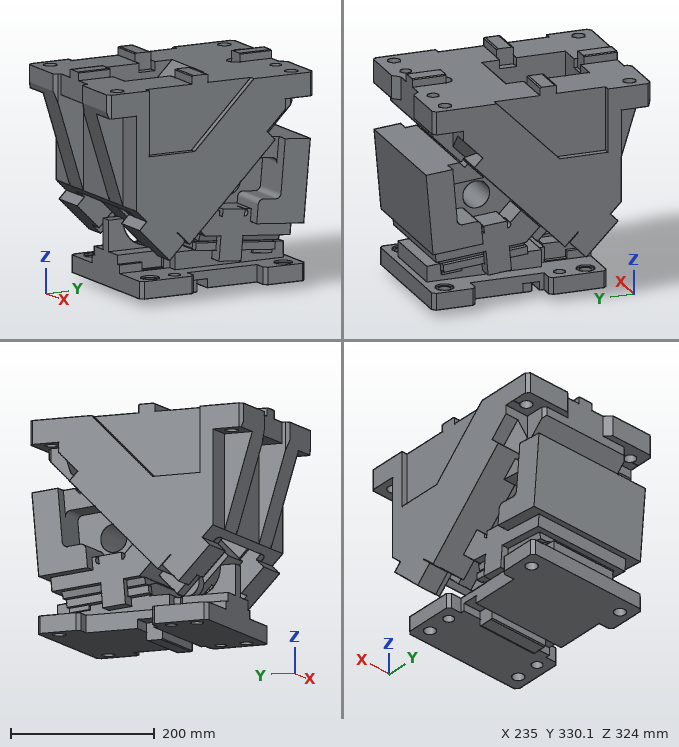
import cadquery as cq
import math


CHAMFER = 5.0
KEY_LENGTH = 50.0
KEY_WIDTH = 25.0
KEY_RISE = 12.0
KEY_SINK = 13.0
KEY_EDGE = (1.0, 2.5)
BOLT_HOLE = 18.5
DOWEL_HOLE = 16.5

SLOPE_ORIGIN = (103.5, 48.5)

TILT = math.radians(5)
TILT_ORIGIN = (319.62, 81.6)

HOLDER_WIDTH = 235.0
HOLDER_LENGTH = 326.0
HOLDER_TOP = 300.0
HOLDER_PLATE = 34.0
HOLDER_PLATE_MIDDLE = 30.0
NOTCH_DEPTH = 10.0
FRONT_NOTCH_HALF = 38.0
REAR_NOTCH_HALF = 32.5
BODY_FRONT = 45.0
BODY_REAR = 281.0
RIB_OUTER = 77.5
RIB_TOP = 275.0
RIB_BOTTOM = 130.0
REAR_BLOCK_DROP = 6.5
REAR_RELIEF_START = 228.0
REAR_RELIEF_DEPTH = 18.0
REAR_RELIEF_END = 290.0
REAR_RELIEF_WALL = -2.5
FOOT_THICK = 16.0
FOOT_BACK = 35.5
FOOT_TOP = -76.0
FOOT_BOTTOM = -8.5
FOOT_STEP = -27.0
FOOT_INNER = 64.5
FOOT_STEP_X = 84.0
BODY_END = 36.3
CHANNEL_TOP = -86.0
CHANNEL_OPEN = 60.0
CHANNEL_END = 218.0
FOOT_SEAT_HALF = 80.5
FOOT_SEAT_RADIUS = 8.0
FOOT_PLUG_SETBACK = 0.5
POCKET_FRONT = 65.0
POCKET_HALF = 46.0
POCKET_REAR = 190.0
POCKET_FLOOR = 229.0
SIDE_POCKET_X = 108.0
SIDE_POCKET_REAR = 231.0
SIDE_POCKET_FLOOR = 206.0
SIDE_KEY_Y = 150.5
HOLE_INSET_X = 20.0
HOLE_INSET_Y = 25.0
HOLDER_DOWEL_X = 52.5

CHEEK_X = 100.0
SIDE_X = 81.5
CORE_X = 60.0
CHEEK_HEIGHT = 120.0
CHEEK_REAR_LEG = 40.0
CHEEK_LOW_LEG = 75.0
CHEEK_LOW_TOP = 35.0
WINDOW_TOP = 90.0
WINDOW_FILLET = 8.0
WINDOW_FLOOR_X = 40.0
SLAB_BACK = -10.0
SLAB_BOTTOM = -20.0
SLIDER_GAP = 2.0
SLIDER_TOP_GAP = 8.5
SLIDER_STEP = 220.0
SLIDER_END = 67.9
SLIDER_FRONT = -250.0
WINDOW_END = 107.5
HOOK_FRONT = -120.0
HOOK_BACK = -85.0
HOOK_TOP = 18.0
HOOK_BOTTOM = -56.0
HOOK_CAVITY_X = 70.0
RELIEF_RADIUS = 5.0
RELIEF_DROP = 5.5
SHOE_BACK = -20.0
SHOE_FRONT = -147.0
SHOE_BOTTOM = -29.5
SHOE_X = 67.0
CROSS_HOLE = 40.0
CROSS_HOLE_AT = (231.8, 139.3)
TONGUE_START = 28.3
TONGUE_END = 215.0
TONGUE_TOP = -61.0
TONGUE_BOTTOM = 20.0
TONGUE_STEM_X = 33.7
WING_INNER = -11.7
WING_OUTER = -7.0
TONGUE_SLOT_HALF = 12.5
TONGUE_SLOT_END = 37.5
NOSE_AT = (136.0, 74.2)
NOSE_RADIUS = 20.0
NOSE_HALF = 8.0

BASE_HALF = 103.0
BASE_FRONT = 60.0
BASE_REAR = 321.0
BASE_PLATE = 25.0
WAIST_HALF = 80.0
WAIST_FRONT = 146.0
WAIST_REAR = 256.0
BASE_KEY_LENGTH = 100.0
BASE_KEY_Y = 165.0
BASE_HOLE_INSET_X = 20.0
BASE_HOLE_INSET_Y = 25.0
BASE_SPOT_FACE = 26.0
SPOT_FACE_DEPTH = 2.5
BASE_DOWEL_Y = 124.0
BLOCK_HALF = 33.7
BLOCK_TOP = 50.0
BLOCK_REAR = 130.0
LEDGE_HALF = 40.0
LEDGE_TOP = 37.0
LEDGE_REAR = 96.0
LOW_LEDGE_TOP = 26.5
BRIDGE_TOP = 47.5
FIN_HALF = 8.4
FIN_TOP = 95.0
FIN_ARC_CENTRE = (122.0, 92.0)
FIN_ARC_MIDDLE = 225
FIN_HEEL = 54.0
STEM_HALF = 55.4
STEM_FRONT = 140.0
STEM_REAR = 311.5
STEM_STEP = 170.0
STEM_SLOPE = -34.0
GUIDE_BACK = -25.0
GUIDE_FRONT = -151.0
FLANGE_HALF = 68.0
FLANGE_TOP = -32.0
FLANGE_BOTTOM = -43.0
ROOF_HALF = 57.6
ROOF_FRONT = -149.0
ROOF_TOP = -22.5
PAD_HALF = 60.0
PAD_LENGTH = 30.0
PAD_THICK = 6.5


def on_slope(up, out):
    """(Y, Z) of a point `up` along the slope and `out` below the sliding face."""
    half = math.sqrt(0.5)
    return (SLOPE_ORIGIN[0] + (up + out) * half, SLOPE_ORIGIN[1] + (up - out) * half)


def on_tilt(back, rise):
    """(Y, Z) of a point given along and across the working direction."""
    y = TILT_ORIGIN[0] + back * math.cos(TILT) + rise * math.sin(TILT)
    z = TILT_ORIGIN[1] - back * math.sin(TILT) + rise * math.cos(TILT)
    return (y, z)


def tilt_meets_slope(rise, out):
    """(Y, Z) where a line at `rise` in the tilted frame crosses a line at `out` below the slope."""
    start_y, start_z = on_tilt(0, rise)
    level = SLOPE_ORIGIN[0] - SLOPE_ORIGIN[1] + out * math.sqrt(2)
    back = (level - start_y + start_z) / (math.cos(TILT) + math.sin(TILT))
    return on_tilt(back, rise)


def tilt_meets_cross(rise, up):
    """(Y, Z) where a line at `rise` in the tilted frame crosses the plane `up` along the slope."""
    start_y, start_z = on_tilt(0, rise)
    total = SLOPE_ORIGIN[0] + SLOPE_ORIGIN[1] + up * math.sqrt(2)
    back = (total - start_y - start_z) / (math.cos(TILT) - math.sin(TILT))
    return on_tilt(back, rise)


def back_meets_cross(back, up):
    """(Y, Z) where a line at `back` in the tilted frame crosses the plane `up` along the slope."""
    start_y, start_z = on_tilt(back, 0)
    total = SLOPE_ORIGIN[0] + SLOPE_ORIGIN[1] + up * math.sqrt(2)
    rise = (total - start_y - start_z) / (math.cos(TILT) + math.sin(TILT))
    return on_tilt(back, rise)


def across(points, half_width):
    """Side outline of (Y, Z) points, extended to both sides of the symmetry plane."""
    return cq.Workplane("YZ").polyline(points).close().extrude(half_width, both=True)


def both_sides(points, inner, outer):
    """Side outline extended between two distances from the symmetry plane, on both sides."""
    right = cq.Workplane("YZ").workplane(offset=inner).polyline(points).close().extrude(outer - inner)
    return right.union(right.mirror("YZ"))


def along_slope(section, start, end):
    """Section of (X, out) points extended up the slope from `start` to `end`."""
    y, z = on_slope(start, 0)
    plane = cq.Plane(origin=(0, y, z), xDir=(1, 0, 0), normal=(0, 1, 1))
    return cq.Workplane(plane).polyline(section).close().extrude(end - start)


def along_tilt(section, back, front):
    """Section of (X, rise) points extended forwards from `back` to `front`."""
    y, z = on_tilt(back, 0)
    plane = cq.Plane(origin=(0, y, z), xDir=(1, 0, 0), normal=(0, -math.cos(TILT), math.sin(TILT)))
    return cq.Workplane(plane).polyline(section).close().extrude(back - front)


def mirrored(half_section):
    """Closed section from its +X half, listed from the symmetry plane outwards and back."""
    return half_section + [(-x, height) for x, height in reversed(half_section)]


def box(x_range, y_range, z_range):
    size = [high - low for low, high in (x_range, y_range, z_range)]
    corner = (x_range[0], y_range[0], z_range[0])
    return cq.Workplane("XY").box(*size, centered=False).translate(corner)


def holes(points, diameter, top, depth):
    return cq.Workplane("XY").workplane(offset=top).pushPoints(points).circle(diameter / 2).extrude(-depth)


def key(length):
    """Key along X, sunk into a plate whose face is Z = 0, with chamfered long top edges."""
    edge_height, edge_width = KEY_EDGE
    half = KEY_WIDTH / 2
    section = [
        (-half, -KEY_SINK), (half, -KEY_SINK), (half, KEY_RISE - edge_height),
        (half - edge_width, KEY_RISE), (edge_width - half, KEY_RISE), (-half, KEY_RISE - edge_height),
    ]
    return across(section, length / 2)


def holder_plate():
    half = HOLDER_WIDTH / 2
    rear = HOLDER_LENGTH
    outline = [
        (FRONT_NOTCH_HALF, NOTCH_DEPTH),
        (FRONT_NOTCH_HALF, CHAMFER), (FRONT_NOTCH_HALF + CHAMFER, 0),
        (half - CHAMFER, 0), (half, CHAMFER),
        (half, rear - CHAMFER), (half - CHAMFER, rear),
        (REAR_NOTCH_HALF + NOTCH_DEPTH, rear), (REAR_NOTCH_HALF, rear - NOTCH_DEPTH),
    ]
    bottom = HOLDER_TOP - HOLDER_PLATE
    plate = cq.Workplane("XY").workplane(offset=bottom).polyline(mirrored(outline)).close()
    plate = plate.extrude(HOLDER_PLATE)
    middle_bottom = HOLDER_TOP - HOLDER_PLATE_MIDDLE
    thinned = box((-FRONT_NOTCH_HALF, FRONT_NOTCH_HALF), (0, BODY_FRONT), (bottom, middle_bottom))
    return plate.cut(thinned)


def holder_body():
    outline = [
        (BODY_FRONT, HOLDER_TOP - HOLDER_PLATE_MIDDLE),
        (BODY_REAR, HOLDER_TOP - HOLDER_PLATE_MIDDLE),
        (BODY_REAR, BODY_REAR - SLOPE_ORIGIN[0] + SLOPE_ORIGIN[1]),
        on_slope(BODY_END, 0),
        on_slope(BODY_END, FOOT_STEP),
        on_slope(FOOT_THICK, FOOT_STEP),
        (BODY_FRONT, RIB_BOTTOM),
    ]
    return across(outline, HOLDER_WIDTH / 2)


def front_ribs():
    outline = [(0, HOLDER_TOP), (0, RIB_TOP), (BODY_FRONT, RIB_BOTTOM), (BODY_FRONT, HOLDER_TOP)]
    ribs = both_sides(outline, FRONT_NOTCH_HALF, RIB_OUTER)
    corner = [(FRONT_NOTCH_HALF, 0), (FRONT_NOTCH_HALF + CHAMFER, 0), (FRONT_NOTCH_HALF, CHAMFER)]
    chamfer = cq.Workplane("XY").polyline(corner).close().extrude(HOLDER_TOP)
    return ribs.cut(chamfer).cut(chamfer.mirror("YZ"))


def front_slant():
    """Material in front of the rib slope, removed across the whole width."""
    return across([(0, RIB_TOP), (BODY_FRONT, RIB_BOTTOM), (0, RIB_BOTTOM)], HOLDER_WIDTH)


def rear_block():
    rear = HOLDER_LENGTH - NOTCH_DEPTH
    under = REAR_BLOCK_DROP * math.sqrt(2) + SLOPE_ORIGIN[0] - SLOPE_ORIGIN[1]
    top = HOLDER_TOP - HOLDER_PLATE
    outline = [
        on_slope(REAR_RELIEF_START, -REAR_RELIEF_DEPTH), on_slope(REAR_RELIEF_START, REAR_BLOCK_DROP),
        (rear, rear - under), (rear, top), (BODY_REAR, top),
    ]
    return across(outline, RIB_OUTER).edges("|Z and >Y").chamfer(CHAMFER)


def rear_reliefs():
    """Corner reliefs beside the rear block, with slanted inner walls."""
    outer = HOLDER_WIDTH / 2 + 1
    shoulder = RIB_OUTER + REAR_RELIEF_DEPTH
    section = [
        (outer, -REAR_RELIEF_DEPTH), (shoulder, -REAR_RELIEF_DEPTH), (RIB_OUTER, REAR_RELIEF_WALL),
        (RIB_OUTER, REAR_BLOCK_DROP), (outer, REAR_BLOCK_DROP),
    ]
    relief = along_slope(section, REAR_RELIEF_START, REAR_RELIEF_END)
    return relief.union(relief.mirror("YZ"))


def feet():
    outline = [
        on_slope(0, FOOT_TOP), on_slope(FOOT_BACK, FOOT_TOP),
        on_slope(FOOT_BACK, FOOT_BOTTOM), on_slope(0, FOOT_BOTTOM),
    ]
    step = [
        on_slope(0, FOOT_STEP), on_slope(FOOT_BACK, FOOT_STEP),
        on_slope(FOOT_BACK, FOOT_BOTTOM), on_slope(0, FOOT_BOTTOM),
    ]
    foot_pair = both_sides(outline, FOOT_INNER, HOLDER_WIDTH / 2)
    return foot_pair.cut(both_sides(step, FOOT_INNER, FOOT_STEP_X))


def slider_channel():
    section = mirrored([(CORE_X, CHANNEL_OPEN), (CORE_X, CHANNEL_TOP)])
    return along_slope(section, 0, CHANNEL_END)


def foot_seat():
    section = mirrored([(FOOT_SEAT_HALF, CHANNEL_OPEN), (FOOT_SEAT_HALF, CHANNEL_TOP)])
    seat = along_slope(section, 0, FOOT_BACK)
    ceiling = seat.faces(cq.selectors.DirectionMinMaxSelector(cq.Vector(0, -1, 1)))
    side_edges = ceiling.edges(cq.selectors.ParallelDirSelector(cq.Vector(0, 1, 1)))
    return side_edges.fillet(FOOT_SEAT_RADIUS)


def foot_plugs():
    """Upper parts of the feet, filling the seat slightly behind the holder's end face."""
    section = [
        (FOOT_INNER, FOOT_TOP), (FOOT_INNER, CHANNEL_TOP),
        (FOOT_SEAT_HALF, CHANNEL_TOP), (FOOT_SEAT_HALF, FOOT_TOP),
    ]
    plug = along_slope(section, FOOT_THICK + FOOT_PLUG_SETBACK, FOOT_BACK)
    return plug.union(plug.mirror("YZ"))


def pocket_outline(rear, floor):
    """Pocket with an upright front wall, a flat floor and a 45 degree rear wall."""
    floor_rear = rear - (HOLDER_TOP - floor)
    return [(POCKET_FRONT, HOLDER_TOP), (POCKET_FRONT, floor), (floor_rear, floor), (rear, HOLDER_TOP)]


def holder_key_slots():
    half = KEY_WIDTH / 2
    z_range = (HOLDER_TOP - KEY_SINK, HOLDER_TOP)
    rear_end = HOLDER_LENGTH - NOTCH_DEPTH - KEY_LENGTH
    slots = box((-half, half), (NOTCH_DEPTH, POCKET_FRONT), z_range)
    slots = slots.union(box((-half, half), (rear_end, HOLDER_LENGTH), z_range))
    slots = slots.union(holes([(0, rear_end)], KEY_WIDTH, HOLDER_TOP, KEY_SINK))
    return slots.union(box((-SIDE_POCKET_X, SIDE_POCKET_X), (SIDE_KEY_Y - half, SIDE_KEY_Y + half), z_range))


def holder_keys():
    side = key(KEY_LENGTH).translate((SIDE_POCKET_X - KEY_LENGTH / 2, SIDE_KEY_Y, HOLDER_TOP))
    lengthwise = key(KEY_LENGTH).rotate((0, 0, 0), (0, 0, 1), 90)
    keys = side.union(side.mirror("YZ"))
    for middle in (NOTCH_DEPTH + KEY_LENGTH / 2, HOLDER_LENGTH - NOTCH_DEPTH - KEY_LENGTH / 2):
        keys = keys.union(lengthwise.translate((0, middle, HOLDER_TOP)))
    return keys


def make_holder():
    hole_x = HOLDER_WIDTH / 2 - HOLE_INSET_X
    rear_y = HOLDER_LENGTH - HOLE_INSET_Y
    bolts = [(x, y) for x in (-hole_x, hole_x) for y in (HOLE_INSET_Y, rear_y)]
    dowels = [(x, rear_y) for x in (-HOLDER_DOWEL_X, HOLDER_DOWEL_X)]
    holder = holder_plate().union(holder_body()).union(front_ribs()).cut(front_slant())
    holder = holder.cut(rear_reliefs()).union(rear_block())
    holder = holder.cut(foot_seat()).union(foot_plugs()).union(feet()).cut(slider_channel())
    holder = holder.cut(across(pocket_outline(POCKET_REAR, POCKET_FLOOR), POCKET_HALF))
    side_pocket = pocket_outline(SIDE_POCKET_REAR, SIDE_POCKET_FLOOR)
    holder = holder.cut(both_sides(side_pocket, SIDE_POCKET_X, HOLDER_WIDTH / 2))
    holder = holder.cut(holder_key_slots()).union(holder_keys())
    holder = holder.cut(holes(bolts, BOLT_HOLE, HOLDER_TOP, HOLDER_PLATE))
    return holder.cut(holes(dowels, DOWEL_HOLE, HOLDER_TOP, HOLDER_PLATE))


def base_plate():
    outline = [
        (BASE_HALF - CHAMFER, BASE_FRONT), (BASE_HALF, BASE_FRONT + CHAMFER),
        (BASE_HALF, WAIST_FRONT - CHAMFER), (BASE_HALF - CHAMFER, WAIST_FRONT),
        (WAIST_HALF, WAIST_FRONT), (WAIST_HALF, WAIST_REAR),
        (BASE_HALF - CHAMFER, WAIST_REAR), (BASE_HALF, WAIST_REAR + CHAMFER),
        (BASE_HALF, BASE_REAR - CHAMFER), (BASE_HALF - CHAMFER, BASE_REAR),
    ]
    plate = cq.Workplane("XY").polyline(mirrored(outline)).close().extrude(BASE_PLATE)
    key_range = (BASE_KEY_Y - KEY_WIDTH / 2, BASE_KEY_Y + KEY_WIDTH / 2)
    plate = plate.cut(box((-WAIST_HALF, WAIST_HALF), key_range, (0, KEY_SINK)))
    base_key = key(BASE_KEY_LENGTH).rotate((0, 0, 0), (1, 0, 0), 180)
    return plate.union(base_key.translate((0, BASE_KEY_Y, 0)))


def base_holes():
    hole_x = BASE_HALF - BASE_HOLE_INSET_X
    hole_ys = (BASE_FRONT + BASE_HOLE_INSET_Y, BASE_REAR - BASE_HOLE_INSET_Y)
    bolts = [(x, y) for x in (-hole_x, hole_x) for y in hole_ys]
    dowels = [(x, BASE_DOWEL_Y) for x in (-hole_x, hole_x)]
    drilled = holes(bolts, BOLT_HOLE, BASE_PLATE, BASE_PLATE)
    drilled = drilled.union(holes(bolts, BASE_SPOT_FACE, BASE_PLATE, SPOT_FACE_DEPTH))
    return drilled.union(holes(dowels, DOWEL_HOLE, BASE_PLATE, BASE_PLATE))


def front_block():
    block = box((-BLOCK_HALF, BLOCK_HALF), (BASE_FRONT, BLOCK_REAR), (BASE_PLATE, BLOCK_TOP))
    ledge_x = (-LEDGE_HALF, LEDGE_HALF)
    block = block.union(box(ledge_x, (BASE_FRONT, LEDGE_REAR), (BASE_PLATE, LEDGE_TOP)))
    block = block.union(box(ledge_x, (LEDGE_REAR, BLOCK_REAR), (BASE_PLATE, LOW_LEDGE_TOP)))
    return block.union(box(ledge_x, (BLOCK_REAR, STEM_FRONT), (BASE_PLATE, BRIDGE_TOP)))


def cam_fin():
    """Upright fin whose hollow back is an arc ending just under the slider's round nose."""
    centre_y, centre_z = FIN_ARC_CENTRE
    radius = math.hypot(BLOCK_REAR - centre_y, FIN_HEEL - centre_z)
    crest_y = centre_y - math.sqrt(radius ** 2 - (FIN_TOP - centre_z) ** 2)
    middle = math.radians(FIN_ARC_MIDDLE)
    through = (centre_y + radius * math.cos(middle), centre_z + radius * math.sin(middle))
    fin = cq.Workplane("YZ").moveTo(BASE_FRONT, BASE_PLATE).lineTo(BASE_FRONT, FIN_TOP)
    fin = fin.lineTo(crest_y, FIN_TOP)
    fin = fin.threePointArc(through, (BLOCK_REAR, FIN_HEEL)).lineTo(BLOCK_REAR, BASE_PLATE).close()
    return fin.extrude(FIN_HALF, both=True)


def guide_stem():
    slope_z = TILT_ORIGIN[1] + STEM_SLOPE / math.cos(TILT)
    rear_z = slope_z + (TILT_ORIGIN[0] - STEM_REAR) * math.tan(TILT)
    step_z = slope_z + (TILT_ORIGIN[0] - STEM_STEP) * math.tan(TILT)
    outline = [
        (STEM_FRONT, BASE_PLATE), (STEM_REAR, BASE_PLATE), (STEM_REAR, rear_z),
        (STEM_STEP, step_z), (STEM_STEP, BLOCK_TOP), (STEM_FRONT, BLOCK_TOP),
    ]
    return across(outline, STEM_HALF)


def rail_roof(back, front):
    """Core of the guide rail, with a roof that carries the slider's shoe."""
    section = mirrored([(ROOF_HALF, FLANGE_BOTTOM), (ROOF_HALF, SHOE_BOTTOM), (TONGUE_STEM_X, ROOF_TOP)])
    return along_tilt(section, back, front)


def rail_flanges():
    section = mirrored([(FLANGE_HALF, FLANGE_BOTTOM), (FLANGE_HALF, FLANGE_TOP)])
    core = mirrored([(ROOF_HALF, FLANGE_BOTTOM), (ROOF_HALF, FLANGE_TOP)])
    return along_tilt(section, GUIDE_BACK, GUIDE_FRONT).cut(along_tilt(core, ROOF_FRONT, GUIDE_FRONT))


def flange_pads():
    section = mirrored([(PAD_HALF, FLANGE_BOTTOM - PAD_THICK), (PAD_HALF, FLANGE_BOTTOM)])
    return along_tilt(section, GUIDE_BACK, GUIDE_BACK - PAD_LENGTH)


def make_base():
    base = base_plate().union(front_block()).union(cam_fin()).union(guide_stem())
    base = base.union(rail_roof(GUIDE_BACK, ROOF_FRONT)).union(rail_flanges()).union(flange_pads())
    return base.cut(base_holes())


def slider_body():
    outline = [
        on_tilt(SLAB_BACK, SLAB_BOTTOM), on_tilt(SLAB_BACK, 0),
        on_tilt(0, 0), on_tilt(0, CHEEK_HEIGHT),
        tilt_meets_slope(CHEEK_HEIGHT, SLIDER_TOP_GAP),
        on_slope(SLIDER_STEP, SLIDER_TOP_GAP), on_slope(SLIDER_STEP, SLIDER_GAP),
        on_slope(SLIDER_END, SLIDER_GAP), tilt_meets_cross(SLAB_BOTTOM, SLIDER_END),
    ]
    return across(outline, SIDE_X)


def fillet_corners(body, corners, middle_x):
    """Rounds the edges along X that pass through the given (Y, Z) corners."""
    for corner_y, corner_z in corners:
        near = cq.selectors.NearestToPointSelector((middle_x, corner_y, corner_z))
        body = body.edges("|X").edges(near).fillet(WINDOW_FILLET)
    return body


def cheeks():
    outline = [
        on_tilt(0, 0), on_tilt(0, CHEEK_HEIGHT), on_tilt(-CHEEK_REAR_LEG, CHEEK_HEIGHT),
        on_tilt(-CHEEK_REAR_LEG, CHEEK_LOW_TOP), on_tilt(-CHEEK_LOW_LEG, CHEEK_LOW_TOP),
        on_tilt(-CHEEK_LOW_LEG, 0),
    ]
    cheek = cq.Workplane("YZ").workplane(offset=SIDE_X).polyline(outline).close().extrude(CHEEK_X - SIDE_X)
    cheek = fillet_corners(cheek, outline[3:5], (SIDE_X + CHEEK_X) / 2)
    return cheek.union(cheek.mirror("YZ"))


def side_windows():
    """Hollows in both flanks around the cross hole, rounded at the cheeks."""
    outline = [
        on_tilt(-CHEEK_REAR_LEG, WINDOW_TOP), on_tilt(-CHEEK_REAR_LEG, CHEEK_LOW_TOP),
        on_tilt(-CHEEK_LOW_LEG, CHEEK_LOW_TOP), on_tilt(-CHEEK_LOW_LEG, HOOK_TOP),
        on_tilt(HOOK_FRONT, HOOK_TOP), back_meets_cross(HOOK_FRONT, WINDOW_END),
        on_slope(WINDOW_END, SLIDER_GAP), tilt_meets_slope(WINDOW_TOP, SLIDER_GAP),
    ]
    window = cq.Workplane("YZ").workplane(offset=WINDOW_FLOOR_X).polyline(outline).close()
    window = window.extrude(SIDE_X - WINDOW_FLOOR_X)
    window = fillet_corners(window, outline[:3], (WINDOW_FLOOR_X + SIDE_X) / 2)
    return window.union(window.mirror("YZ"))


def hook_reliefs():
    """Half-round reliefs beside the top of each hook."""
    low = HOOK_TOP - 2 * RELIEF_DROP - RELIEF_RADIUS
    hook = [
        on_tilt(HOOK_FRONT, low), on_tilt(HOOK_BACK, low),
        on_tilt(HOOK_BACK, HOOK_TOP), on_tilt(HOOK_FRONT, HOOK_TOP),
    ]
    centres = [on_tilt(back, HOOK_TOP - RELIEF_DROP) for back in (HOOK_FRONT, HOOK_BACK)]
    rounds = cq.Workplane("YZ").workplane(offset=CORE_X).pushPoints(centres).circle(RELIEF_RADIUS)
    rounds = rounds.extrude(SIDE_X - CORE_X)
    return rounds.union(rounds.mirror("YZ")).cut(across(hook, SIDE_X))


def shoe():
    """Bearing shoe below the slab, with slanted flanks, that sits over the rail roof."""
    section = mirrored([(SHOE_X, SHOE_BOTTOM), (HOOK_CAVITY_X, SLAB_BOTTOM)])
    return along_tilt(section, SHOE_BACK, SHOE_FRONT)


def hooks():
    outline = [
        on_tilt(HOOK_FRONT, HOOK_BOTTOM), on_tilt(HOOK_BACK, HOOK_BOTTOM),
        on_tilt(HOOK_BACK, SLAB_BOTTOM), on_tilt(HOOK_FRONT, SLAB_BOTTOM),
    ]
    cavity = [
        (CORE_X, FLANGE_BOTTOM), (HOOK_CAVITY_X, FLANGE_BOTTOM),
        (HOOK_CAVITY_X, SLAB_BOTTOM), (CORE_X, SLAB_BOTTOM),
    ]
    groove = along_tilt(cavity, HOOK_BACK, HOOK_FRONT)
    return both_sides(outline, CORE_X, SIDE_X).cut(groove).cut(groove.mirror("YZ"))


def tongue():
    """Winged tongue that runs in the holder's channel, slotted at its lower end for the fin."""
    section = mirrored([
        (TONGUE_STEM_X, TONGUE_BOTTOM), (TONGUE_STEM_X, WING_INNER),
        (CORE_X, WING_OUTER), (CORE_X, TONGUE_TOP),
    ])
    whole = along_slope(section, TONGUE_START, SLIDER_END)
    core = mirrored([
        (WINDOW_FLOOR_X, SLIDER_TOP_GAP), (WINDOW_FLOOR_X, 0), (CORE_X, 0), (CORE_X, TONGUE_TOP),
    ])
    whole = whole.union(along_slope(core, SLIDER_END, TONGUE_END))
    slot = mirrored([(TONGUE_SLOT_HALF, TONGUE_BOTTOM), (TONGUE_SLOT_HALF, TONGUE_TOP)])
    return whole.cut(along_slope(slot, TONGUE_START, TONGUE_SLOT_END))


def cross_cylinder(centre, radius, half_width):
    return cq.Workplane("YZ").center(*centre).circle(radius).extrude(half_width, both=True)


def make_slider():
    slider = slider_body().union(cheeks()).cut(side_windows()).cut(hook_reliefs())
    slider = slider.union(shoe()).cut(rail_roof(0, SLIDER_FRONT)).union(hooks())
    slider = slider.union(tongue()).union(cross_cylinder(NOSE_AT, NOSE_RADIUS, NOSE_HALF))
    return slider.cut(cross_cylinder(CROSS_HOLE_AT, CROSS_HOLE / 2, CHEEK_X))


holder = make_holder()
base = make_base()
slider = make_slider()

result = cq.Compound.makeCompound([holder.solids().val(), base.solids().val(), slider.solids().val()])